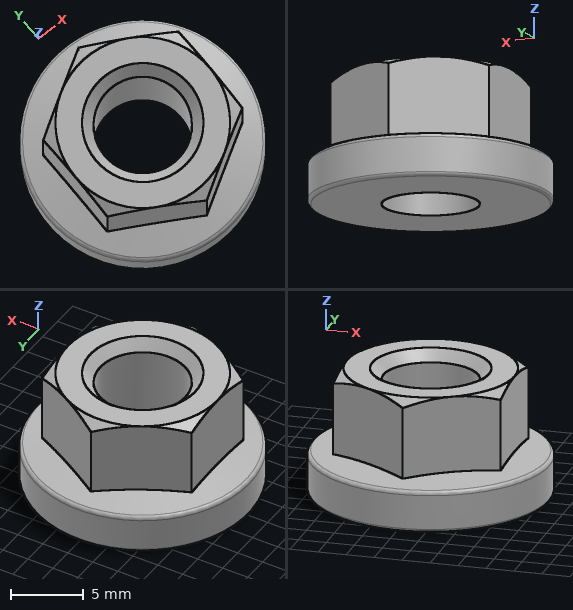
import cadquery as cq
import math

flange_diameter = 17.0
total_height = 9.0
hex_across_flats = 12.0
hole_diameter = 6.75
countersink_diameter = 8.35

flange_slope = 12.0
rim_height = 2.98
rim_top_fillet = 0.3
rim_bottom_fillet = 0.25

corner_chamfer_angle = 30.0

flange_radius = flange_diameter / 2
hex_across_corners = hex_across_flats / math.cos(math.radians(30))


def make_flange():
    """Round flange with a conical top running in to a central point."""
    apex_height = rim_height + flange_radius * math.tan(math.radians(flange_slope))
    flange = (
        cq.Workplane("XZ")
        .moveTo(0, 0)
        .lineTo(flange_radius, 0)
        .lineTo(flange_radius, rim_height)
        .lineTo(0, apex_height)
        .close()
        .revolve(360, (0, 0, 0), (0, 1, 0))
    )
    flange = flange.faces("<Z").edges().fillet(rim_bottom_fillet)
    return flange.faces("%CONE").edges("%CIRCLE").fillet(rim_top_fillet)


def make_hexagon():
    """Hexagon with corners on the Y axis, chamfered by a cone touching the flats at the top."""
    hexagon = (
        cq.Workplane("XY")
        .polygon(6, hex_across_corners)
        .extrude(total_height)
        .rotate((0, 0, 0), (0, 0, 1), 30)
    )
    top_radius = hex_across_flats / 2
    cone_drop = (flange_radius - top_radius) * math.tan(math.radians(corner_chamfer_angle))
    envelope = (
        cq.Workplane("XZ")
        .moveTo(0, 0)
        .lineTo(flange_radius, 0)
        .lineTo(flange_radius, total_height - cone_drop)
        .lineTo(top_radius, total_height)
        .lineTo(0, total_height)
        .close()
        .revolve(360, (0, 0, 0), (0, 1, 0))
    )
    return hexagon.intersect(envelope)


result = (
    make_flange()
    .union(make_hexagon())
    .faces(">Z")
    .workplane(origin=(0, 0, total_height))
    .cskHole(hole_diameter, countersink_diameter, 90)
)